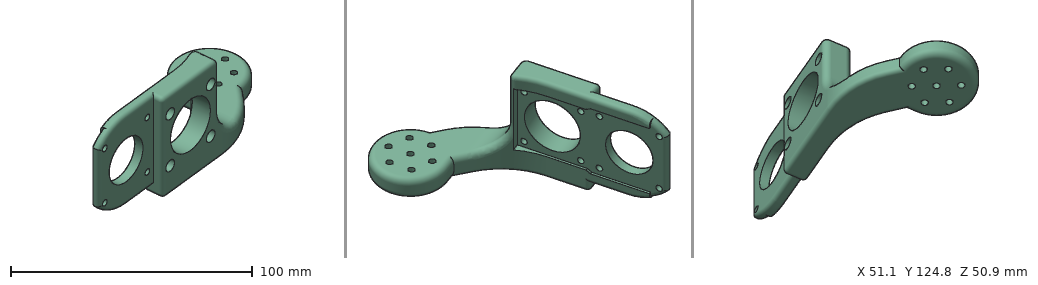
import cadquery as cq
import math

pad_radius = 17.5
pad_thickness = 10.0
pad_bolt_radius = 10.2
pad_bolt_count = 6

right_x = 33.6
tip_y = -107.3
top_z = 50.9

bend_radius = 40.0
inner_bend_end_y = -51.5
saddle_radius = 15.0
upright_y = -34.8
pad_overlap = 6.2

face_x = 22.8
tongue_x = face_x + 5.6
block_end_y = -71.8
tongue_bottom_z = 5.0
end_radius = (top_z - tongue_bottom_z) / 2
axis_z = tongue_bottom_z + end_radius

large_y = -53.8
large_dia = 26.1
large_screw_pitch = 26.6
large_recess = 32.7
small_y = -89.7
small_dia = 22.1
small_screw_pitch = 28.0
small_recess = 35.2
recess_open_y = -99.7
recess_floor_x = face_x + 1.1
screw_dia = 3.0
counterbore_dia = 5.6
counterbore_depth = 5.0

pad_fillet = 3.0
plate_fillet = 2.0


def on_circle(center, radius, degrees):
    angle = math.radians(degrees)
    return (center[0] + radius * math.cos(angle), center[1] + radius * math.sin(angle))


cos45 = math.cos(math.radians(45))
inner_center = (face_x - bend_radius, inner_bend_end_y)
inner_start = on_circle(inner_center, bend_radius, 45)
outer_corner = (pad_radius, 0)
inner_corner = (inner_start[0] + inner_start[1] + pad_radius, -pad_radius)
outer_x = right_x - bend_radius
outer_center = (outer_x, pad_radius - outer_x - 2 * bend_radius * cos45)


def round_edges(body, radius, points):
    """Fillet the edges closest to the points, and the edges running on tangent to them."""
    edges = [body.edges(cq.NearestToPointSelector(point)).val() for point in points]
    return body.newObject(edges).fillet(radius)


def make_pad():
    """Disc with a short straight stub that ends inside the arm."""
    stub = 0.6 * pad_radius
    return (
        cq.Workplane("XY")
        .moveTo(pad_radius, 0)
        .threePointArc((-pad_radius * cos45, pad_radius * cos45), (0, -pad_radius))
        .lineTo(stub, -pad_radius)
        .lineTo(pad_radius, -stub)
        .close()
        .extrude(pad_thickness)
        .faces("<Z or >Z")
        .edges()
        .fillet(pad_fillet)
    )


def arm_plan():
    """Plan outline of the arm and the plate, as a prism of full height."""
    outer_start = on_circle(outer_center, bend_radius, 45)
    outer_middle = on_circle(outer_center, bend_radius, 22.5)
    return (
        cq.Workplane("XY")
        .moveTo(pad_radius - pad_overlap, pad_overlap)
        .lineTo(inner_corner[0] - pad_overlap, inner_corner[1] + pad_overlap)
        .lineTo(*inner_start)
        .threePointArc(on_circle(inner_center, bend_radius, 22.5), (face_x, inner_bend_end_y))
        .lineTo(face_x, tip_y)
        .lineTo(tongue_x, tip_y)
        .lineTo(tongue_x, block_end_y)
        .lineTo(right_x, block_end_y)
        .lineTo(right_x, outer_center[1])
        .threePointArc(outer_middle, outer_start)
        .close()
        .extrude(top_z)
    )


def draw_tongue_end(outline):
    """Add the tongue's end to a YZ outline, from its top edge round to its bottom edge."""
    center = (small_y, axis_z)
    arc_step = 20
    half_tip = math.sqrt(end_radius**2 - (small_y - tip_y) ** 2)
    return (
        outline.lineTo(small_y, top_z)
        .threePointArc(on_circle(center, end_radius, 90 + arc_step), (tip_y, axis_z + half_tip))
        .lineTo(tip_y, axis_z - half_tip)
        .threePointArc(on_circle(center, end_radius, 270 - arc_step), (small_y, tongue_bottom_z))
    )


def arm_profile():
    """Side outline of the arm and the plate, as a prism across the full width."""
    saddle_center = (upright_y + saddle_radius, pad_thickness + saddle_radius)
    outline = (
        cq.Workplane("YZ")
        .moveTo(pad_radius, 0)
        .lineTo(pad_radius, pad_thickness)
        .lineTo(saddle_center[0], pad_thickness)
        .threePointArc(on_circle(saddle_center, saddle_radius, 225), (upright_y, saddle_center[1]))
        .lineTo(upright_y, top_z)
    )
    return (
        draw_tongue_end(outline)
        .lineTo(block_end_y, tongue_bottom_z)
        .lineTo(block_end_y, 0)
        .close()
        .extrude(right_x, both=True)
    )


def make_arm():
    """Arm and plate with rounded edges."""
    block_mid_y = (upright_y + block_end_y) / 2
    block_mid_x = (face_x + right_x) / 2
    tongue_mid_y = (block_end_y + small_y) / 2
    body = arm_plan().intersect(arm_profile())
    body = round_edges(
        body,
        pad_fillet,
        [
            (*outer_corner, pad_thickness),
            (*inner_corner, pad_thickness),
            (block_mid_x, upright_y, top_z),
        ],
    )
    return round_edges(
        body,
        plate_fillet,
        [
            (*outer_corner, 0),
            (*inner_corner, 0),
            (block_mid_x, block_end_y, 0),
            (right_x, block_mid_y, top_z),
            ((tongue_x + right_x) / 2, block_end_y, top_z),
            (right_x, block_end_y, axis_z),
            (face_x, block_end_y, tongue_bottom_z / 2),
            (face_x, (inner_bend_end_y + small_y) / 2, top_z),
            (face_x, tongue_mid_y, tongue_bottom_z),
            (tongue_x, tongue_mid_y, top_z),
            (tongue_x, tongue_mid_y, tongue_bottom_z),
            (tongue_x, tip_y, axis_z),
        ],
    )


def make_recess():
    """Cutter for the two joined recesses. The floor it leaves rounds off along the tongue's end."""
    large_left = large_y + large_recess / 2
    large_right = large_y - large_recess / 2
    small_left = small_y + small_recess / 2
    beyond_tip = tip_y - plate_fillet
    upper = [
        (large_left, large_recess / 2),
        (large_right, large_recess / 2),
        (small_left, small_recess / 2),
        (recess_open_y, small_recess / 2),
        (recess_open_y, end_radius),
        (beyond_tip, end_radius),
    ]
    lower = [(y, -z) for y, z in reversed(upper)]
    cutter = (
        cq.Workplane("YZ", origin=(0, 0, axis_z))
        .polyline(upper + lower)
        .close()
        .extrude(tongue_x)
    )
    floor_outline = cq.Workplane("YZ", origin=(recess_floor_x, 0, 0)).moveTo(upright_y, top_z)
    floor = (
        draw_tongue_end(floor_outline)
        .lineTo(upright_y, tongue_bottom_z)
        .close()
        .extrude(right_x - recess_floor_x)
        .faces("<X")
        .edges()
        .fillet(plate_fillet)
    )
    return cutter.cut(floor)


def drill_along_x(center_y, diameter, screw_pitch=0.0, depth=2 * right_x):
    """Cutter from the +X side: one hole, or four on a square if a pitch is given."""
    pattern = cq.Workplane("YZ", origin=(right_x, center_y, axis_z))
    if screw_pitch:
        pattern = pattern.rect(screw_pitch, screw_pitch, forConstruction=True).vertices()
    return pattern.circle(diameter / 2).extrude(-depth)


def drill_pad():
    """Cutter for the pad's centre hole and its ring of screw holes."""
    ring = cq.Workplane("XY").polarArray(pad_bolt_radius, 90, 360, pad_bolt_count)
    center = cq.Workplane("XY").circle(screw_dia / 2).extrude(pad_thickness)
    return ring.circle(screw_dia / 2).extrude(pad_thickness).union(center)


cutters = [
    make_recess(),
    drill_along_x(large_y, large_dia),
    drill_along_x(large_y, screw_dia, large_screw_pitch),
    drill_along_x(large_y, counterbore_dia, large_screw_pitch, counterbore_depth),
    drill_along_x(small_y, small_dia),
    drill_along_x(small_y, screw_dia, small_screw_pitch),
    drill_pad(),
]

result = make_arm().union(make_pad())
for cutter in cutters:
    result = result.cut(cutter)